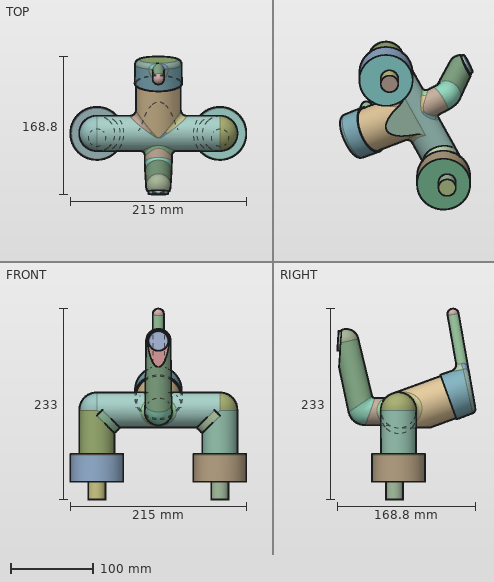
import cadquery as cq
import math

tube_radius = 21.6
leg_spacing = 150.0
corner_web_offset = 6.7
corner_web_overlap = 0.3

flange_radius = 32.5
flange_top = -53.2
flange_height = 34.3
flange_fillet = 1.5

stub_radius = 10.6
stub_offset_y = -4.9
stub_length = 21.7

body_radius = 27.5
body_tilt = 20.0
body_axis_drop = 6.4
body_length = 64.9
body_blend = 7.0
body_root = 8.0

cap_radius = 29.1
cap_end_radius = 28.2
cap_length = 50.0
handle_tilt = 10.0
cap_face_y = 89.8
cap_face_z = 25.9
cap_fillet = 6.0
lever_radius = 7.0
lever_tip_z = 123.8
lever_setback = 0.1
lever_blend = 8.0

neck_radius = 16.7
neck_drop = 1.9
neck_blend = 5.0
spout_lean = 12.7
spout_base_radius = 16.4
spout_top_radius = 15.2
spout_top_reach = 63.7
spout_top_z = 83.8
elbow_outer_tangent = 16.8
elbow_inner_tangent = 2.5
elbow_sections = 7

outlet_lean = 4.0
outlet_face_distance = 6.7
aerator_radius = 12.2
aerator_height = 3.6
aerator_fillet = 1.0

trim_size = 200.0
half_spacing = leg_spacing / 2


def cylinder(start, direction, radius, length):
    return cq.Workplane(cq.Solid.makeCylinder(radius, length, cq.Vector(*start), cq.Vector(*direction)))


def cone(start, direction, radius_1, radius_2, length):
    return cq.Workplane(
        cq.Solid.makeCone(radius_1, radius_2, length, cq.Vector(*start), cq.Vector(*direction))
    )


def ball(center, radius):
    return cq.Workplane("XY").sphere(radius).translate(center)


def half_space(origin, normal):
    """Block filling the side of a plane that the normal points to."""
    plane = cq.Plane(origin=origin, xDir=(1, 0, 0), normal=normal)
    return cq.Workplane(plane).rect(trim_size, trim_size).extrude(trim_size)


def corner_web(side):
    """Oblique web that bevels the inside of the corner between cross tube and leg."""
    across = cq.Vector(-side, 0, 1).normalized()
    start = cq.Vector(side * half_spacing, 0, -corner_web_offset) - across * corner_web_overlap
    thickness = corner_web_offset * math.sqrt(2) + 2 * corner_web_overlap
    plane = cq.Plane(origin=start.toTuple(), xDir=(-side, 0, -1), normal=across.toTuple())
    web = cq.Workplane(plane).ellipse(tube_radius * math.sqrt(2), tube_radius).extrude(thickness)
    return web.cut(half_space((side * half_spacing, 0, -corner_web_offset), (side, 0, 1)))


def leg(side):
    """Spherical corner, vertical pipe, flange and connection stub."""
    x = side * half_spacing
    flange = cylinder((x, 0, flange_top), (0, 0, -1), flange_radius, flange_height)
    flange = flange.faces(">Z").edges().fillet(flange_fillet)
    stub_start = (x, stub_offset_y, flange_top - flange_height)
    stub = cylinder(stub_start, (0, 0, -1), stub_radius, stub_length)
    pipe = cylinder((x, 0, 0), (0, 0, -1), tube_radius, -flange_top)
    return ball((x, 0, 0), tube_radius).union(pipe).union(flange).union(stub)


def body_point(distance):
    """Point on the body axis at a distance from where it passes under the tube axis."""
    tilt = math.radians(body_tilt)
    return (0, distance * math.cos(tilt), distance * math.sin(tilt) - body_axis_drop)


body_direction = (0, math.cos(math.radians(body_tilt)), math.sin(math.radians(body_tilt)))


def cross_tube():
    return cylinder((-half_spacing, 0, 0), (1, 0, 0), tube_radius, leg_spacing)


def tube_with_body():
    """Inclined body blended into the cross tube and cut level with the tube's underside."""
    body = cylinder(body_point(-body_length), body_direction, body_radius, 2 * body_length)
    body = body.cut(half_space((0, -body_root, 0), (0, -1, 0)))
    joined = cross_tube().union(body).edges("%BSPLINE").fillet(body_blend)
    joined = joined.cut(half_space((0, 0, -tube_radius), (0, 0, -1)))
    front_underside = half_space((0, 0, -tube_radius / 2), (0, 0, -1)).intersect(
        half_space((0, 0, 0), (0, -1, 0))
    )
    plain_underside = cross_tube().intersect(front_underside)
    return joined.cut(front_underside).union(plain_underside)


def handle():
    """Tapered cap with a leaning face, and a round-ended lever rising flush with that face."""
    tilt = math.radians(handle_tilt)
    up = cq.Vector(0, -math.sin(tilt), math.cos(tilt))
    outward = cq.Vector(0, math.cos(tilt), math.sin(tilt))
    face_point = cq.Vector(0, cap_face_y, cap_face_z)

    cap = cone(body_point(body_length), body_direction, cap_radius, cap_end_radius, cap_length)
    cap = cap.cut(half_space(face_point.toTuple(), outward.toTuple()))
    cap = cap.faces(cq.selectors.DirectionMinMaxSelector(outward)).edges().fillet(cap_fillet)

    foot = face_point - outward * (lever_radius + lever_setback)
    length = (lever_tip_z - lever_radius - foot.z) / math.cos(tilt)
    tip = foot + up * length
    joined = cap.union(cylinder(foot.toTuple(), up.toTuple(), lever_radius, length))
    margin = 2 * lever_radius
    cap_top_z = cap_face_z + cap_radius * math.cos(tilt)
    around_root = cq.selectors.BoxSelector(
        (-margin, foot.y - 2 * margin, cap_top_z - margin),
        (margin, cap_face_y, cap_top_z + margin),
        boundingbox=True,
    )
    joined = joined.edges(around_root).edges("not %LINE").fillet(lever_blend)
    return joined.union(ball(tip.toTuple(), lever_radius))


lean = math.radians(spout_lean)
neck_direction = cq.Vector(0, -1, 0)
rise_direction = cq.Vector(0, -math.sin(lean), math.cos(lean))
rise_inward = cq.Vector(0, math.cos(lean), math.sin(lean))
spout_top = cq.Vector(0, -spout_top_reach, spout_top_z)
rise_length = (spout_top_z + neck_drop) / math.cos(lean)
spout_base = spout_top - rise_direction * rise_length


def rise_radius(point):
    """Radius of the rising tube level with a point."""
    height = (point - spout_base).dot(rise_direction)
    return spout_base_radius + (spout_top_radius - spout_base_radius) * height / rise_length


def elbow_arc(edge, tangent, fraction):
    """Point on the arc rounding the inner (edge = 1) or outer (edge = -1) corner of the elbow."""
    base_point = spout_base + rise_inward * edge * spout_base_radius
    top_point = spout_top + rise_inward * edge * spout_top_radius
    along = (top_point - base_point).normalized()
    corner_z = edge * neck_radius - neck_drop
    corner = base_point + along * ((corner_z - base_point.z) / along.z)
    turn = math.acos(neck_direction.dot(along))
    arc_radius = tangent / math.tan(turn / 2)
    start = corner - neck_direction * tangent
    angle = fraction * turn
    return start + cq.Vector(0, -math.sin(angle), 1 - math.cos(angle)) * arc_radius


def elbow_span(fraction):
    """Inner and outer points of an elbow section, at a fraction of the turn."""
    inner = elbow_arc(1, elbow_inner_tangent, fraction)
    outer = elbow_arc(-1, elbow_outer_tangent, fraction)
    return inner, outer


def elbow_section(fraction):
    """Elliptical section between the arcs; the last one is the rising cone's own oblique section."""
    inner, outer = elbow_span(1)
    end_half_width = math.sqrt(rise_radius(inner) * rise_radius(outer))
    half_width = neck_radius + fraction * (end_half_width - neck_radius)
    inner, outer = elbow_span(fraction)
    span = inner - outer
    normal = span.cross(cq.Vector(1, 0, 0))
    return cq.Wire.makeEllipse(span.Length / 2, half_width, (inner + outer) * 0.5, normal, span)


def elbow_side(fraction, facing):
    """Block bounded by an elbow section plane, on the side that the flow (1) or its source (-1) lies."""
    inner, outer = elbow_span(fraction)
    flow = (inner - outer).cross(cq.Vector(-1, 0, 0))
    return half_space(outer.toTuple(), (flow * facing).toTuple())


def neck():
    """Level cylinder from the cross tube to the first elbow section."""
    straight = cylinder((0, 0, -neck_drop), neck_direction.toTuple(), neck_radius, spout_top_reach)
    return straight.cut(elbow_side(0, 1))


def spout():
    """Elbow and rising tube with a spherical end, an outlet flat and the aerator."""
    sections = [elbow_section(i / (elbow_sections - 1)) for i in range(elbow_sections)]
    elbow = cq.Workplane(cq.Solid.makeLoft(sections))
    rising = cone(
        spout_base.toTuple(), rise_direction.toTuple(), spout_base_radius, spout_top_radius, rise_length
    )
    rising = rising.cut(elbow_side(1, -1))
    end = ball(spout_top.toTuple(), spout_top_radius)

    tilt = math.radians(outlet_lean)
    facing = cq.Vector(0, -math.cos(tilt), math.sin(tilt))
    outlet = spout_top + facing * outlet_face_distance
    tube = elbow.union(rising).union(end)
    tube = tube.cut(half_space(outlet.toTuple(), facing.toTuple()))
    aerator = cylinder(outlet.toTuple(), facing.toTuple(), aerator_radius, aerator_height)
    aerator = aerator.faces("<Y").edges().fillet(aerator_fillet)
    return tube.union(aerator)


def add_neck(base):
    """Join the neck to the cross tube and round the curve where they meet."""
    joined = base.union(neck())
    front = cq.selectors.BoxSelector(
        (-half_spacing, -2 * tube_radius, -2 * tube_radius),
        (half_spacing, 0, 2 * tube_radius),
        boundingbox=True,
    )
    return joined.edges(front).edges("%BSPLINE").fillet(neck_blend)


result = add_neck(tube_with_body())
result = result.union(leg(-1)).union(leg(1))
result = result.union(corner_web(-1)).union(corner_web(1))
result = result.union(handle()).union(spout())